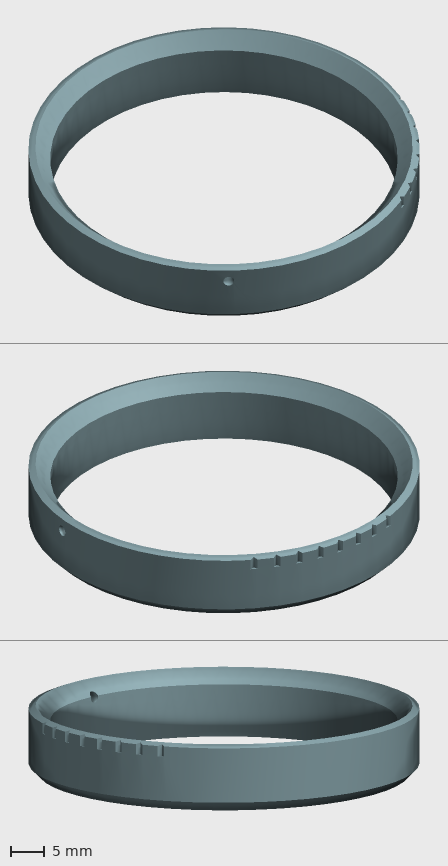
import cadquery as cq

outer_radius = 29.0
height = 10.1
bore_radius = 25.75
crest_radius = 27.95
mouth_depth = 2.2
rim_drop = 0.4
bottom_chamfer = 1.45

hole_diameter = 1.6
hole_angle = -23.0
hole_drop = 2.4

notch_count = 8
first_notch_angle = 90.0
notch_step = -6.9
notch_depth = 0.5
notch_drop = 2.0
notch_overshoot = 0.6


def ring_body():
    """Revolve the ring section about Z."""
    return (
        cq.Workplane("XZ")
        .moveTo(bore_radius, 0)
        .lineTo(outer_radius - bottom_chamfer, 0)
        .lineTo(outer_radius, bottom_chamfer)
        .lineTo(outer_radius, height - rim_drop)
        .lineTo(crest_radius, height)
        .lineTo(bore_radius, height - mouth_depth)
        .close()
        .revolve(360, (0, 0, 0), (0, 1, 0))
    )


def radial_hole():
    """Cylinder from the axis out through one side of the wall."""
    return (
        cq.Workplane("YZ")
        .center(0, height - hole_drop)
        .circle(hole_diameter / 2)
        .extrude(outer_radius + hole_diameter)
        .rotate((0, 0, 0), (0, 0, 1), hole_angle)
    )


def index_notch(angle):
    """Triangular prism pointing at the axis, standing on the notch floor."""
    half_width = notch_depth + notch_overshoot
    return (
        cq.Workplane("XY", origin=(0, 0, height - notch_drop))
        .moveTo(outer_radius - notch_depth, 0)
        .lineTo(outer_radius + notch_overshoot, half_width)
        .lineTo(outer_radius + notch_overshoot, -half_width)
        .close()
        .extrude(notch_drop + notch_overshoot)
        .rotate((0, 0, 0), (0, 0, 1), angle)
    )


result = ring_body().cut(radial_hole())
for index in range(notch_count):
    result = result.cut(index_notch(first_notch_angle + index * notch_step))